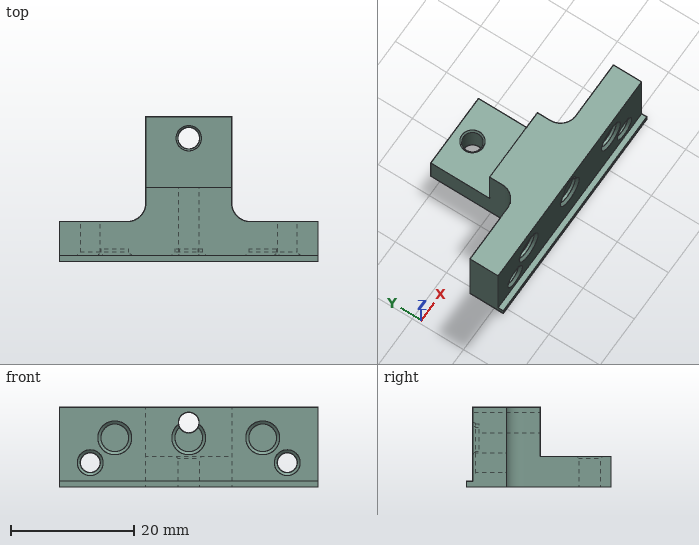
import cadquery as cq

length = 42.0
depth = 23.5
height = 13.0
plate_back = 6.5
lip = 1.0
stem_width = 14.0
corner_radius = 3.0
step_y = 12.0
low_height = 5.0

pocket_spacing = 12.0
pocket_z = 8.02
pocket_diameter = 4.5
pocket_mouth = 5.5
pocket_depth = 1.0

mount_x = 16.0
mount_z = 4.0
mount_diameter = 3.2
mount_mouth = 4.2
center_hole_z = 10.5
center_hole_diameter = 3.3
stem_hole_to_back = 3.5
stem_hole_diameter = 3.5
stem_hole_mouth = 4.1


def block(width, block_depth):
    """Full-height block, centred in X and starting at the front of the part."""
    return cq.Workplane("XY").box(width, block_depth, height, centered=(True, False, False))


def body():
    inner_corners = cq.selectors.BoxSelector(
        (-stem_width / 2 - 0.4, plate_back - 0.4, 0),
        (stem_width / 2 + 0.4, plate_back + 0.4, height),
    )
    solid = block(length, plate_back).union(block(stem_width, depth))
    solid = solid.edges("|Z").edges(inner_corners).fillet(corner_radius)
    above_lip = block(length, lip).translate((0, 0, lip))
    above_low_end = block(stem_width, depth).translate((0, step_y, low_height))
    return solid.cut(above_lip).cut(above_low_end)


def countersunk_hole(diameter, mouth, hole_depth, start, direction):
    """Cylinder with a 45 degree cone that widens to the mouth diameter at its start."""
    start = cq.Vector(*start)
    direction = cq.Vector(*direction)
    bore = cq.Solid.makeCylinder(diameter / 2, hole_depth, start, direction)
    cone_depth = (mouth - diameter) / 2
    cone = cq.Solid.makeCone(mouth / 2, diameter / 2, cone_depth, start, direction)
    return bore.fuse(cone)


result = body()

for x in (-pocket_spacing, 0, pocket_spacing):
    result = result.cut(
        countersunk_hole(pocket_diameter, pocket_mouth, pocket_depth, (x, lip, pocket_z), (0, 1, 0))
    )

for x in (-mount_x, mount_x):
    result = result.cut(
        countersunk_hole(mount_diameter, mount_mouth, depth, (x, lip, mount_z), (0, 1, 0))
    )

center_hole = cq.Solid.makeCylinder(
    center_hole_diameter / 2, depth, cq.Vector(0, 0, center_hole_z), cq.Vector(0, 1, 0)
)
result = result.cut(center_hole)

result = result.cut(
    countersunk_hole(
        stem_hole_diameter,
        stem_hole_mouth,
        height,
        (0, depth - stem_hole_to_back, low_height),
        (0, 0, -1),
    )
)